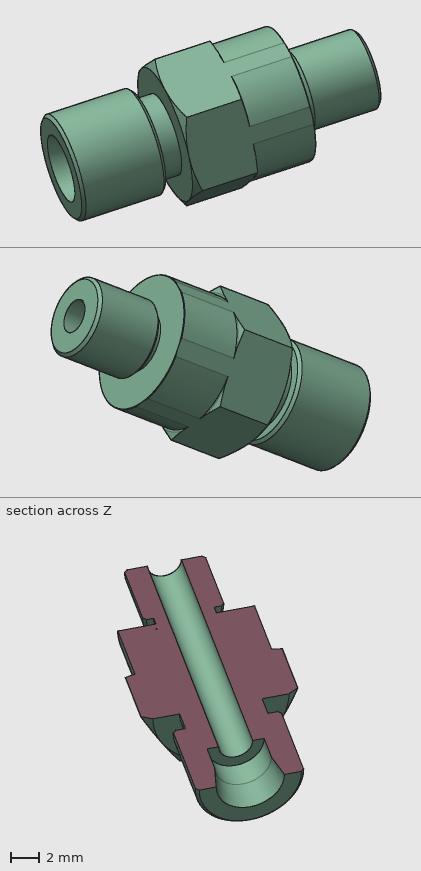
import cadquery as cq
import math

LENGTH = 23.5
FRONT_STUD_END = 6.49
HEX_FRONT = 8.01
HEX_BACK = 12.85
COLLAR_END = 17.53
REAR_STUD_START = 18.1

FRONT_STUD_DIAMETER = 8.0
FRONT_NECK_DIAMETER = 6.1
ACROSS_FLATS = 10.0
COLLAR_DIAMETER = 10.1
REAR_NECK_DIAMETER = 4.5
REAR_STUD_DIAMETER = 6.0

STUD_CHAMFER = 0.24
COLLAR_CHAMFER = 0.05
HEX_CHAMFER_ANGLE = 30.0
SHOULDER_DIAMETER = 10.43
SHOULDER_ANGLE = 14.0

SEAT_DIAMETER = 5.0
SOCKET_DIAMETER = 4.15
SEAT_HALF_ANGLE = 12.0
SOCKET_DEPTH = 4.0
PASSAGE_DIAMETER = 2.5

HEX_CORNER_RADIUS = ACROSS_FLATS / 2 / math.cos(math.radians(30))


def revolve_about_y(profile):
    """Revolve a closed outline of (radius, y) points about the Y axis."""
    return cq.Workplane("XY").polyline(profile).close().revolve(360, (0, 0, 0), (0, 1, 0))


def cylinder(diameter, start, end):
    """Solid cylinder on the Y axis between two positions."""
    return cq.Workplane("XZ", origin=(0, start, 0)).circle(diameter / 2).extrude(start - end)


def stud(diameter, start, end):
    """Cylinder with both end edges chamfered."""
    return cylinder(diameter, start, end).edges("%CIRCLE").chamfer(STUD_CHAMFER)


def hex_bar():
    """Hexagonal bar spanning the hexagon and collar, with two flats facing up and down."""
    return (
        cq.Workplane("XZ", origin=(0, HEX_FRONT, 0))
        .polygon(6, 2 * HEX_CORNER_RADIUS)
        .extrude(HEX_FRONT - COLLAR_END)
    )


def hex_and_collar():
    """Hexagon with tapered corners, turned down behind to a round collar that keeps narrow flats."""
    face_radius = ACROSS_FLATS / 2
    collar_radius = COLLAR_DIAMETER / 2
    shoulder_radius = SHOULDER_DIAMETER / 2
    front_drop = (HEX_CORNER_RADIUS - face_radius) * math.tan(math.radians(HEX_CHAMFER_ANGLE))
    back_drop = (HEX_CORNER_RADIUS - shoulder_radius) * math.tan(math.radians(SHOULDER_ANGLE))
    envelope = revolve_about_y([
        (0, HEX_FRONT),
        (face_radius, HEX_FRONT),
        (HEX_CORNER_RADIUS, HEX_FRONT + front_drop),
        (HEX_CORNER_RADIUS, HEX_BACK - back_drop),
        (shoulder_radius, HEX_BACK),
        (collar_radius, HEX_BACK),
        (collar_radius, COLLAR_END - COLLAR_CHAMFER),
        (collar_radius - COLLAR_CHAMFER, COLLAR_END),
        (0, COLLAR_END),
    ])
    return hex_bar().intersect(envelope)


def bore():
    """Tapered seat at the front leading to the tube socket and the through passage."""
    seat_radius = SEAT_DIAMETER / 2
    socket_radius = SOCKET_DIAMETER / 2
    passage_radius = PASSAGE_DIAMETER / 2
    seat_depth = (seat_radius - socket_radius) / math.tan(math.radians(SEAT_HALF_ANGLE))
    return revolve_about_y([
        (0, 0),
        (seat_radius, 0),
        (socket_radius, seat_depth),
        (socket_radius, SOCKET_DEPTH),
        (passage_radius, SOCKET_DEPTH),
        (passage_radius, LENGTH),
        (0, LENGTH),
    ])


front_stud = stud(FRONT_STUD_DIAMETER, 0, FRONT_STUD_END)
front_neck = cylinder(FRONT_NECK_DIAMETER, FRONT_STUD_END, HEX_FRONT)
rear_neck = cylinder(REAR_NECK_DIAMETER, COLLAR_END, REAR_STUD_START)
rear_stud = stud(REAR_STUD_DIAMETER, REAR_STUD_START, LENGTH)

result = (
    front_stud.union(front_neck)
    .union(hex_and_collar())
    .union(rear_neck)
    .union(rear_stud)
    .cut(bore())
)